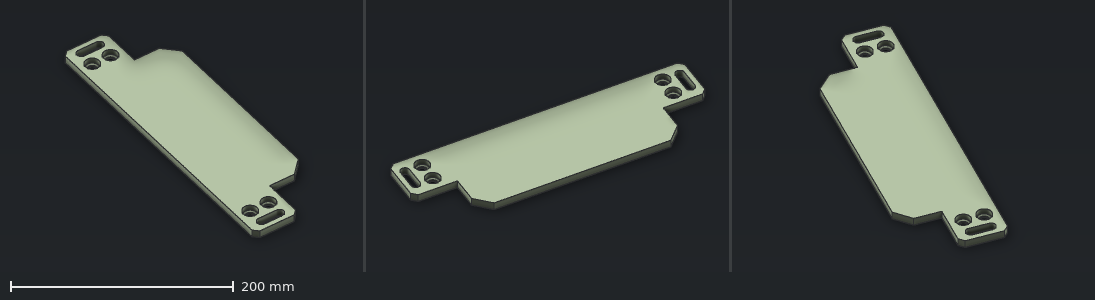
import cadquery as cq

length = 300.0
depth = 90.0
thickness = 8.0
body_width = 210.0
body_chamfer = 15.0
tab_depth = 48.0
tab_chamfer = 5.0

hole_diameter = 9.0
counterbore_diameter = 15.0
counterbore_depth = 6.0
hole_spacing_x = 245.0
hole_spacing_y = 20.0

slot_width = 9.0
slot_length = 29.0
slot_spacing = 280.0

tab_middle = tab_depth / 2


def make_plate():
    """Wide strip with a narrower body behind it, corners cut at 45 degrees."""
    strip = (
        cq.Workplane("XY")
        .box(length, tab_depth, thickness, centered=(True, False, False))
        .edges("|Z")
        .chamfer(tab_chamfer)
    )
    body = (
        cq.Workplane("XY")
        .box(body_width, depth, thickness, centered=(True, False, False))
        .edges("|Z and >Y")
        .chamfer(body_chamfer)
    )
    return strip.union(body)


def cut_screw_holes(plate):
    return (
        plate.faces(">Z")
        .workplane(origin=(0, tab_middle, thickness))
        .rarray(hole_spacing_x, hole_spacing_y, 2, 2)
        .cboreHole(hole_diameter, counterbore_diameter, counterbore_depth)
    )


def cut_slots(plate):
    slots = (
        cq.Workplane("XY", origin=(0, tab_middle, 0))
        .rarray(slot_spacing, 3, 2, 1)
        .slot2D(slot_length, slot_width, 90)
        .extrude(thickness)
    )
    return plate.cut(slots)


result = cut_slots(cut_screw_holes(make_plate()))